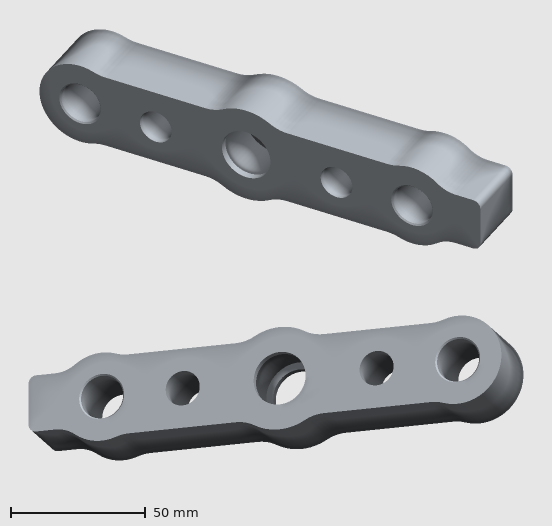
import cadquery as cq
import math

thickness = 25.4
overall_length = 185.5
bar_half_height = 15.4
tab_half_height = 11.0
tab_corner_radius = 3.0
end_eye_diameter = 34.3
end_eye_radius = end_eye_diameter / 2
middle_eye_diameter = 39.9
middle_eye_radius = middle_eye_diameter / 2
end_eye_span = 139.6
eye_spacing = end_eye_span / 2
blend_radius = 15.0
tab_blend_radius = 13.0

end_hole_diameter = 16.5
end_hole_chamfer = 0.5
middle_hole_diameter = 20.4
middle_recess_diameter = 26.0
middle_lip_thickness = 2.8
small_hole_diameter = 13.4
small_hole_spacing = 38.0

tab_end = overall_length - eye_spacing - end_eye_radius


def flat_stock(left, right, half_height):
    """Rectangular block of full thickness, symmetric about the X axis."""
    return (
        cq.Workplane("XY")
        .box(right - left, thickness, 2 * half_height)
        .translate(((left + right) / 2, 0, 0))
    )


def cylinder(center_x, radius, length=thickness):
    """Cylinder along Y, centred in the thickness."""
    return (
        cq.Workplane("XZ", origin=(center_x, 0, 0))
        .circle(radius)
        .extrude(length / 2, both=True)
    )


def blend(center_x, eye_radius, flat_half_height, radius, direction):
    """Concave blends, above and below, from an eye to the flats on one side of it."""
    arc_z = flat_half_height + radius
    offset = math.sqrt((eye_radius + radius) ** 2 - arc_z ** 2)
    arc_x = center_x + direction * offset
    eye_share = eye_radius / (eye_radius + radius)
    eye_tangent = (center_x + direction * offset * eye_share, arc_z * eye_share)
    half_angle = math.atan2(offset, arc_z) / 2
    middle = (
        arc_x - direction * radius * math.sin(half_angle),
        arc_z - radius * math.cos(half_angle),
    )
    upper = (
        cq.Workplane("XZ")
        .moveTo(center_x, 0)
        .lineTo(*eye_tangent)
        .threePointArc(middle, (arc_x, flat_half_height))
        .lineTo(arc_x, 0)
        .close()
        .extrude(thickness / 2, both=True)
    )
    return upper.union(upper.mirror("XY"))


def chamfered_hole(center_x):
    """Cutter for an end hole, flared at both faces."""
    bore_radius = end_hole_diameter / 2
    cutter = cylinder(center_x, bore_radius)
    flare = cq.Solid.makeCone(
        bore_radius + end_hole_chamfer,
        bore_radius,
        end_hole_chamfer,
        pnt=cq.Vector(center_x, -thickness / 2, 0),
        dir=cq.Vector(0, 1, 0),
    )
    flares = cq.Workplane(flare).union(cq.Workplane(flare).mirror("XZ"))
    return cutter.union(flares)


tab = flat_stock(eye_spacing, tab_end, tab_half_height)
tab = tab.edges("|Y and >X").fillet(tab_corner_radius)
body = flat_stock(-eye_spacing, eye_spacing, bar_half_height).union(tab)

body = body.union(cylinder(0, middle_eye_radius))
for side in (-1, 1):
    body = body.union(cylinder(side * eye_spacing, end_eye_radius))
    body = body.union(blend(0, middle_eye_radius, bar_half_height, blend_radius, side))
    body = body.union(blend(side * eye_spacing, end_eye_radius, bar_half_height, blend_radius, -side))
body = body.union(blend(eye_spacing, end_eye_radius, tab_half_height, tab_blend_radius, 1))
body = body.clean()

body = body.cut(cylinder(0, middle_hole_diameter / 2))
recess = cylinder(0, middle_recess_diameter / 2, thickness - 2 * middle_lip_thickness)
body = body.cut(recess)
for side in (-1, 1):
    body = body.cut(cylinder(side * small_hole_spacing, small_hole_diameter / 2))
    body = body.cut(chamfered_hole(side * eye_spacing))

result = body